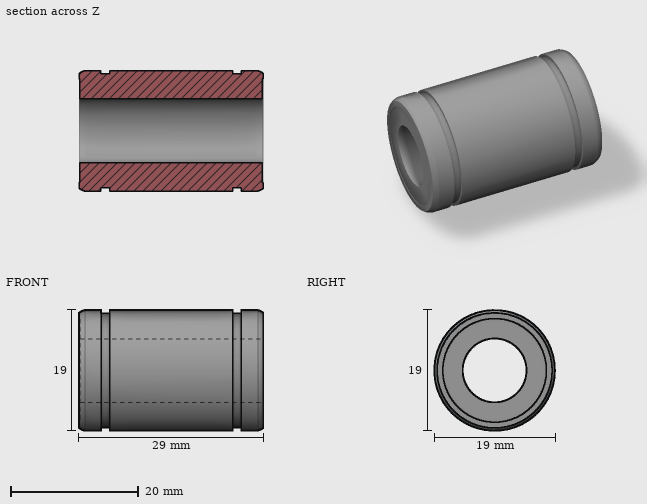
import cadquery as cq

length = 29.0
outer_diameter = 19.0
bore_diameter = 10.0

groove_diameter = 18.0
groove_width = 1.3
groove_inset = 3.5

end_face_diameter = 18.1
shoulder_length = 0.9
shoulder_bulge = 0.05

seal_diameter = 16.3
seal_recess = 0.12

half_length = length / 2


def sleeve_profile():
    """Half section of the solid sleeve, with a shallow arc at both outer corners."""
    outer_radius = outer_diameter / 2
    face_radius = end_face_diameter / 2
    arc_start = half_length - shoulder_length
    arc_middle = half_length - shoulder_length / 2
    middle_radius = (outer_radius + face_radius) / 2 + shoulder_bulge
    return (
        cq.Workplane("XY")
        .moveTo(-half_length, 0)
        .lineTo(-half_length, face_radius)
        .threePointArc((-arc_middle, middle_radius), (-arc_start, outer_radius))
        .lineTo(arc_start, outer_radius)
        .threePointArc((arc_middle, middle_radius), (half_length, face_radius))
        .lineTo(half_length, 0)
        .close()
    )


def disc(start, thickness, diameter):
    """Round disc about the X axis, growing toward +X from start."""
    return cq.Workplane("YZ", origin=(start, 0, 0)).circle(diameter / 2).extrude(thickness)


def groove_ring(start):
    """Ring of material to remove for one retaining ring groove."""
    return disc(start, groove_width, outer_diameter).cut(disc(start, groove_width, groove_diameter))


body = sleeve_profile().revolve(360, (0, 0, 0), (1, 0, 0))

left_groove_start = -half_length + groove_inset
right_groove_start = half_length - groove_inset - groove_width
for groove_start in (left_groove_start, right_groove_start):
    body = body.cut(groove_ring(groove_start))

for recess_start in (-half_length, half_length - seal_recess):
    body = body.cut(disc(recess_start, seal_recess, seal_diameter))

result = body.cut(disc(-half_length, length, bore_diameter))